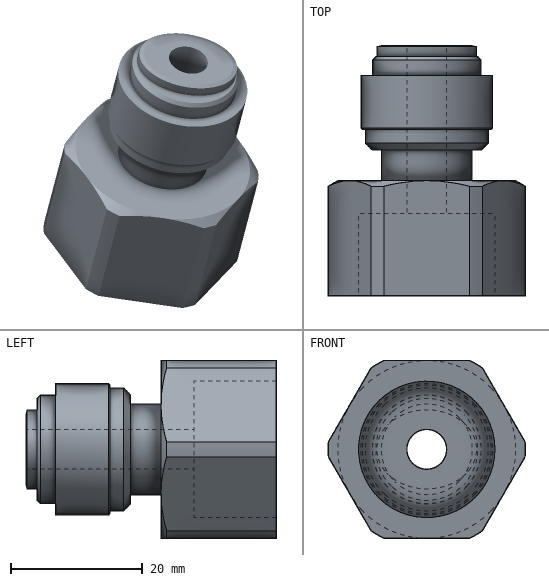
import cadquery as cq
import math

total_length = 38.0
flange_end = 36.33
body_end = 33.5
body_start = 25.27
collar_start = 22.15
hex_length = 17.5

hex_across_flats = 27.0
hex_corner_diameter = 30.0
neck_diameter = 13.8
collar_diameter = 18.7
body_diameter = 20.0
flange_diameter = 16.5
collet_width = 15.12
collet_height = 12.0

hex_chamfer_angle = 30.0
collar_chamfer = 1.05
body_chamfer = 0.23
flange_chamfer = 0.5
collet_bevel_axial = 0.15
collet_bevel_radial = 0.7

socket_diameter = 20.7
socket_depth = 12.5
bore_diameter = 6.0


def section_plane(y):
    """Plane across the part at height y, with its normal toward +Y."""
    return cq.Plane(origin=(0, y, 0), xDir=(1, 0, 0), normal=(0, 1, 0))


def cylinder(diameter, start, end):
    return cq.Workplane(section_plane(start)).circle(diameter / 2).extrude(end - start)


def hexagon():
    """Hexagon with rounded corners and a conical chamfer on its neck end."""
    sharp_diameter = hex_across_flats / math.cos(math.radians(30))
    prism = cq.Workplane(section_plane(0)).polygon(6, sharp_diameter).extrude(hex_length)
    chamfer_radial = (hex_corner_diameter - hex_across_flats) / 2
    chamfer_axial = chamfer_radial * math.tan(math.radians(hex_chamfer_angle))
    envelope = cylinder(hex_corner_diameter, 0, hex_length)
    envelope = envelope.faces(">Y").chamfer(chamfer_axial, chamfer_radial)
    return prism.intersect(envelope)


def connector():
    """Neck, collar, body and flange, up to the collet."""
    neck = cylinder(neck_diameter, hex_length, collar_start)
    collar = cylinder(collar_diameter, collar_start, body_start)
    collar = collar.faces("<Y").chamfer(collar_chamfer)
    body = cylinder(body_diameter, body_start, body_end)
    body = body.faces("<Y").chamfer(body_chamfer)
    flange = cylinder(flange_diameter, body_end, flange_end)
    flange = flange.faces(">Y").chamfer(flange_chamfer)
    return neck.union(collar).union(body).union(flange)


def collet():
    """Oval release collet at the tube end, with a shallow bevel around its end face."""
    bevel_start = total_length - collet_bevel_axial
    semi_width = collet_width / 2
    semi_height = collet_height / 2
    oval = cq.Workplane(section_plane(flange_end)).ellipse(semi_width, semi_height)
    oval = oval.extrude(bevel_start - flange_end)
    bevel = cq.Workplane(section_plane(bevel_start)).ellipse(semi_width, semi_height)
    bevel = bevel.workplane(offset=collet_bevel_axial)
    bevel = bevel.ellipse(semi_width - collet_bevel_radial, semi_height - collet_bevel_radial)
    return oval.union(bevel.loft(ruled=True))


socket = cylinder(socket_diameter, 0, socket_depth)
bore = cylinder(bore_diameter, 0, total_length)

result = hexagon().union(connector()).union(collet()).cut(socket).cut(bore)